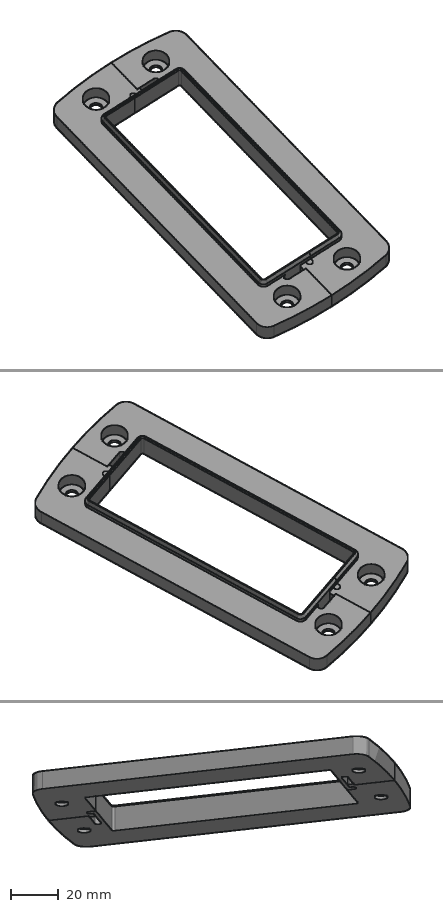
import cadquery as cq
import math

LENGTH = 152.0
WIDTH = 69.0
PLATE_HEIGHT = 8.0
TOTAL_HEIGHT = 11.5
END_ARC_RADIUS = 182.4
CORNER_RADIUS = 5.8

WINDOW_LENGTH = 107.6
WINDOW_WIDTH = 39.8
WINDOW_CHAMFER_WIDTH = 0.5
WINDOW_CHAMFER_HEIGHT = 0.8
WINDOW_CORNER_RADIUS = 0.9
RIM_WALL = 1.8
RIM_TOP_INSET = 1.0
RIM_STRAIGHT_HEIGHT = 1.8

HOLE_SPACING_X = 130.0
HOLE_SPACING_Y = 31.8
HOLE_DIAMETER = 5.5
COUNTERBORE_DIAMETER = 11.2
COUNTERBORE_DEPTH = 6.5

SPLIT_Y = 0.8
SEAM_Y = -4.0
SLOT_WIDTH = 2.7
SLOT_END_Y = 11.0
HOOK_RADIUS = 1.4
HOOK_REACH = 2.5
NOSE_HEIGHT = 1.2
NOSE_CORNER_RADIUS = 0.9

TONGUE_X = -(WINDOW_LENGTH / 2 + RIM_WALL)
SLOT_X = TONGUE_X - SLOT_WIDTH
REACH = LENGTH


def half_turn(shape):
    return shape.rotate((0, 0, 0), (0, 0, 1), 180)


def make_plate():
    """Plate with bowed ends and rounded corners, resting on Z = 0."""
    half_width = WIDTH / 2
    bow = END_ARC_RADIUS - math.sqrt(END_ARC_RADIUS**2 - half_width**2)
    corner_x = LENGTH / 2 - bow
    return (
        cq.Workplane("XY")
        .moveTo(-corner_x, -half_width)
        .lineTo(corner_x, -half_width)
        .threePointArc((LENGTH / 2, 0), (corner_x, half_width))
        .lineTo(-corner_x, half_width)
        .threePointArc((-LENGTH / 2, 0), (-corner_x, -half_width))
        .close()
        .extrude(PLATE_HEIGHT)
        .edges("|Z")
        .fillet(CORNER_RADIUS)
    )


def window_section(wall, z):
    """Rounded rectangle at height z, a wall thickness outside the window wall."""
    return (
        cq.Sketch()
        .rect(WINDOW_LENGTH + 2 * wall, WINDOW_WIDTH + 2 * wall)
        .vertices()
        .fillet(WINDOW_CORNER_RADIUS + wall)
        .moved(cq.Location(cq.Vector(0, 0, z)))
    )


def window_block(lower_wall, lower_z, upper_wall, upper_z):
    """Solid block between two window sections at different heights."""
    lower = window_section(lower_wall, lower_z)
    upper = window_section(upper_wall, upper_z)
    return cq.Workplane("XY").placeSketch(lower, upper).loft(ruled=True)


def make_rim():
    """Raised rim: straight at the plate, then tapering to the top."""
    taper_start = PLATE_HEIGHT + RIM_STRAIGHT_HEIGHT
    straight = window_block(RIM_WALL, PLATE_HEIGHT, RIM_WALL, taper_start)
    taper = window_block(RIM_WALL, taper_start, RIM_WALL - RIM_TOP_INSET, TOTAL_HEIGHT)
    return straight.union(taper)


def make_window():
    """Straight opening with a lead-in chamfer at the top of the rim."""
    chamfer_start = TOTAL_HEIGHT - WINDOW_CHAMFER_HEIGHT
    straight = window_block(0, 0, 0, chamfer_start)
    chamfer = window_block(0, chamfer_start, WINDOW_CHAMFER_WIDTH, TOTAL_HEIGHT)
    return straight.union(chamfer)


def make_slot():
    """Round-ended slot through the plate that lets the tongue bend."""
    end_radius = SLOT_WIDTH / 2
    return (
        cq.Workplane("XY")
        .moveTo(SLOT_X, SPLIT_Y)
        .lineTo(TONGUE_X, SPLIT_Y)
        .lineTo(TONGUE_X, SLOT_END_Y - end_radius)
        .threePointArc((TONGUE_X - end_radius, SLOT_END_Y), (SLOT_X, SLOT_END_Y - end_radius))
        .close()
        .extrude(PLATE_HEIGHT)
    )


def make_nose():
    """Catch that rises into the slot and holds the hook of the tongue."""
    nose_top = SPLIT_Y + NOSE_HEIGHT
    round_middle = NOSE_CORNER_RADIUS * (1 - math.sqrt(0.5))
    return (
        cq.Workplane("XY")
        .moveTo(SLOT_X, SPLIT_Y)
        .lineTo(TONGUE_X, SPLIT_Y)
        .lineTo(TONGUE_X, nose_top - NOSE_CORNER_RADIUS)
        .threePointArc(
            (TONGUE_X - round_middle, nose_top - round_middle),
            (TONGUE_X - NOSE_CORNER_RADIUS, nose_top),
        )
        .lineTo(SLOT_X, nose_top)
        .close()
        .extrude(PLATE_HEIGHT)
    )


def make_frame():
    """Whole frame before it is split into two halves."""
    frame = make_plate().union(make_rim())
    frame = frame.cut(make_window())
    screw_holes = (
        cq.Workplane("XY")
        .workplane(offset=PLATE_HEIGHT)
        .rarray(HOLE_SPACING_X, HOLE_SPACING_Y, 2, 2)
    )
    frame = frame.cut(screw_holes.circle(HOLE_DIAMETER / 2).extrude(-PLATE_HEIGHT))
    frame = frame.cut(screw_holes.circle(COUNTERBORE_DIAMETER / 2).extrude(-COUNTERBORE_DEPTH))
    slot = make_slot()
    return frame.cut(slot).cut(half_turn(slot))


def make_front_space():
    """Space taken by the front half, bounded by the split line at both ends."""
    hook_top = SEAM_Y + 2 * HOOK_RADIUS
    hook_x = TONGUE_X - HOOK_REACH + HOOK_RADIUS
    hook_middle = (hook_x - HOOK_RADIUS, SEAM_Y + HOOK_RADIUS)
    return (
        cq.Workplane("XY")
        .moveTo(-REACH, SPLIT_Y)
        .lineTo(TONGUE_X, SPLIT_Y)
        .lineTo(TONGUE_X, hook_top)
        .lineTo(hook_x, hook_top)
        .threePointArc(hook_middle, (hook_x, SEAM_Y))
        .lineTo(0, SEAM_Y)
        .lineTo(0, -SEAM_Y)
        .lineTo(-hook_x, -SEAM_Y)
        .threePointArc((-hook_middle[0], -hook_middle[1]), (-hook_x, -hook_top))
        .lineTo(-TONGUE_X, -hook_top)
        .lineTo(-TONGUE_X, -SPLIT_Y)
        .lineTo(REACH, -SPLIT_Y)
        .lineTo(REACH, -REACH)
        .lineTo(-REACH, -REACH)
        .close()
        .extrude(TOTAL_HEIGHT)
    )


def make_front_half():
    """Half towards -Y; the other half is this one turned about Z."""
    return make_frame().intersect(make_front_space()).union(make_nose()).solids()


front_half = make_front_half()
back_half = half_turn(front_half)

result = cq.Compound.makeCompound([front_half.val(), back_half.val()])